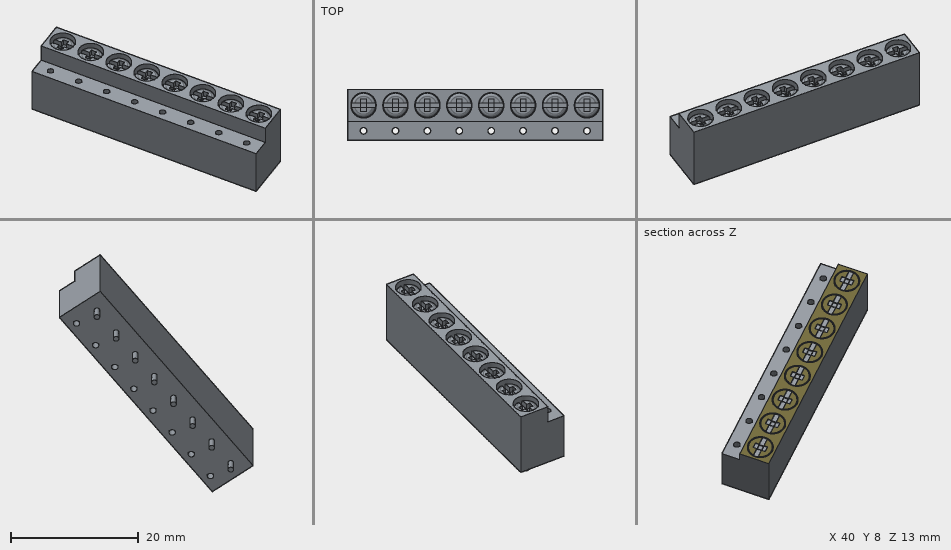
import cadquery as cq

pole_count = 8
pitch = 5.0
block_length = pole_count * pitch
block_depth = 8.0
block_height = 11.0
pin_length = 2.0
pin_diameter = 0.9

tower_depth = 5.0
ledge_depth = block_depth - tower_depth
ledge_drop = 3.0
ledge_height = block_height - ledge_drop
screw_row_y = ledge_depth + tower_depth / 2
hole_row_y = ledge_depth / 2
hole_diameter = 1.0

recess_diameter = 4.0
head_diameter = 3.8
head_recess = 0.6
head_height = 1.4
head_flat_diameter = 2.8
head_edge_radius = (head_diameter - head_flat_diameter) / 2
recess_depth = head_recess + head_height
recess_floor = block_height - recess_depth
head_top = block_height - head_recess
slot_width = 0.75
cross_width = 0.9
cross_length = 2.0
drive_depth = 1.0
centre_step = 0.2
centre_depth = drive_depth + centre_step

pole_positions = [(index + 0.5) * pitch for index in range(pole_count)]


def row_points(row_y):
    """Centre of each pole along the block at the given Y."""
    return [(x, row_y) for x in pole_positions]


def make_block():
    """Stepped housing with its bottom face at Z = 0."""
    profile = [
        (0, 0),
        (block_depth, 0),
        (block_depth, block_height),
        (ledge_depth, block_height),
        (ledge_depth, ledge_height),
        (0, ledge_height),
    ]
    return cq.Workplane("YZ").polyline(profile).close().extrude(block_length)


def cylinders(row_y, base_z, diameter, height):
    """One upright cylinder per pole."""
    plane = cq.Workplane("XY", origin=(0, 0, base_z))
    return plane.pushPoints(row_points(row_y)).circle(diameter / 2).extrude(height)


def drive_cuts(length, width, depth):
    """One rectangular cut per screw, sunk from the top of the head."""
    plane = cq.Workplane("XY", origin=(0, 0, head_top))
    return plane.pushPoints(row_points(screw_row_y)).rect(length, width).extrude(-depth)


def make_screw_heads():
    """Round-edged heads with two crossing slots, slightly deeper where they cross."""
    heads = cylinders(screw_row_y, recess_floor, head_diameter, head_height)
    heads = heads.faces(">Z").edges().fillet(head_edge_radius)
    heads = heads.cut(drive_cuts(head_diameter, slot_width, drive_depth))
    heads = heads.cut(drive_cuts(cross_width, cross_length, drive_depth))
    return heads.cut(drive_cuts(cross_width, slot_width, centre_depth))


recesses = cylinders(screw_row_y, recess_floor, recess_diameter, recess_depth)
through_holes = cylinders(hole_row_y, 0, hole_diameter, ledge_height)
pins = cylinders(screw_row_y, -pin_length, pin_diameter, pin_length)

result = make_block().cut(recesses).cut(through_holes).union(make_screw_heads()).union(pins)